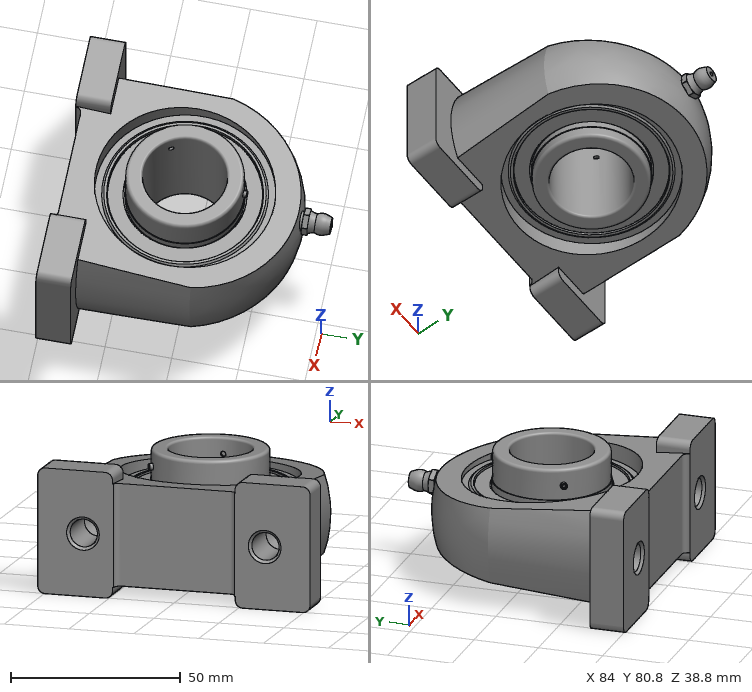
import cadquery as cq
import math


length = 84.0
base_y = -36.5
foot_width = 23.1
foot_depth = 10.5
foot_height = 38.1
foot_corner_radius = 2.35
relief_depth = 1.85
relief_half_width = 18.65
relief_radius = 1.7
side_radius = 34.5
shoulder_y = 8.15
crown_radius = math.hypot(side_radius, shoulder_y)
mid_half_height = 12.5
draft_angle = 5.0
bolt_spacing = 56.0
bolt_hole_diameter = 8.4
bolt_hole_depth = 15.0
bolt_chamfer = 0.8
drill_tip_angle = 118.0
recess_diameter = 53.4
seat_half_height = 8.5
seat_diameter = 52.0

ring_top = 19.7
ring_bottom = -14.3
bore_diameter = 25.0
bore_fillet = 0.75
ring_diameter = 35.0
ring_fillet = 1.0
race_diameter = 35.5
race_half_height = 10.25
outer_half_height = 9.0
outer_face_diameter = 47.9
seal_diameter = 46.2
seal_half_height = 8.5
seal_outer_groove = 0.25
seal_inner_groove = 0.5
groove_depth = 0.7
screw_z = 14.8
screw_diameter = 2.0
screw_tip_diameter = 1.6
screw_reach = 18.7
screw_inner_reach = 13.35
screw_socket_corners = 1.2
screw_socket_depth = 0.8
screw_angles = (90.0, 210.0)

nipple_z = 4.45
nipple_bottom_y = 30.2
thread_diameter = 6.0
hex_bottom_y = 35.5
hex_top_y = 37.3
hex_across_flats = 7.0
hex_round_diameter = 8.0
hex_chamfer = 0.2
neck_y = 39.3
neck_diameter = 5.6
flare_hollow = 0.1
ball_bottom_y = 39.6
ball_edge_diameter = 6.0
ball_diameter = 6.6
ball_top_y = 42.5
cap_y = 43.85
cap_diameter = 4.95
valve_diameter = 1.6
nipple_top_y = 44.3


def body_half_height(y):
    return mid_half_height - y * math.tan(math.radians(draft_angle))


def y_cylinder(diameter, start_y, end_y):
    height = end_y - start_y
    return cq.Workplane("XZ", origin=(0, start_y, 0)).circle(diameter / 2).extrude(-height)


def make_foot(side):
    center_x = side * (length - foot_width) / 2
    foot = cq.Workplane("XY").box(foot_width, foot_depth, foot_height)
    foot = foot.edges("|Y").fillet(foot_corner_radius)
    return foot.translate((center_x, base_y + foot_depth / 2, 0))


def make_block():
    crown_mid = math.atan2(shoulder_y, side_radius) / 2 + math.pi / 4
    envelope = (
        cq.Workplane("XY")
        .moveTo(0, base_y)
        .lineTo(side_radius, base_y)
        .lineTo(side_radius, shoulder_y)
        .threePointArc(
            (crown_radius * math.cos(crown_mid), crown_radius * math.sin(crown_mid)),
            (0, crown_radius),
        )
        .close()
        .revolve(360, (0, 0, 0), (0, 1, 0))
    )
    low, high = base_y, crown_radius
    slab = (
        cq.Workplane("YZ")
        .polyline([
            (low, -body_half_height(low)),
            (high, -body_half_height(high)),
            (high, body_half_height(high)),
            (low, body_half_height(low)),
        ])
        .close()
        .extrude(length / 2, both=True)
    )
    return envelope.intersect(slab)


def make_relief():
    relief = cq.Workplane("XY").box(2 * relief_half_width, 2 * relief_depth, 2 * foot_height)
    relief = relief.edges("|Z and >Y").fillet(relief_radius)
    return relief.translate((0, base_y, 0))


def make_bolt_hole(x):
    radius = bolt_hole_diameter / 2
    mouth = radius + bolt_chamfer
    tip_depth = bolt_hole_depth + radius / math.tan(math.radians(drill_tip_angle / 2))
    hole = (
        cq.Workplane("XY")
        .polyline([
            (0, 0),
            (mouth, 0),
            (radius, bolt_chamfer),
            (radius, bolt_hole_depth),
            (0, tip_depth),
        ])
        .close()
        .revolve(360, (0, 0, 0), (0, 1, 0))
    )
    return hole.translate((x, base_y, 0))


def make_seat():
    seat = cq.Workplane("XY").sphere(seat_diameter / 2)
    for side in (1, -1):
        recess = cq.Workplane("XY").workplane(offset=side * seat_half_height)
        seat = seat.union(recess.circle(recess_diameter / 2).extrude(side * foot_height))
    return seat


def make_housing():
    housing = make_block()
    for side in (-1, 1):
        housing = housing.union(make_foot(side))
    housing = housing.cut(make_relief()).cut(make_seat())
    for side in (-1, 1):
        housing = housing.cut(make_bolt_hole(side * bolt_spacing / 2))
    thread_hole = y_cylinder(thread_diameter, nipple_bottom_y, crown_radius)
    return housing.cut(thread_hole.translate((0, 0, nipple_z)))


def place_at_screw(shape, angle):
    return shape.translate((0, 0, screw_z)).rotate((0, 0, 0), (0, 0, 1), angle)


def make_screw(angle):
    tip_chamfer = (screw_diameter - screw_tip_diameter) / 2
    screw = (
        cq.Workplane("YZ", origin=(screw_inner_reach, 0, 0))
        .circle(screw_diameter / 2)
        .extrude(screw_reach - screw_inner_reach)
        .faces(">X")
        .chamfer(tip_chamfer)
    )
    return place_at_screw(screw, angle)


def make_screw_openings(angle):
    socket = (
        cq.Workplane("YZ", origin=(screw_reach, 0, 0))
        .polygon(6, screw_socket_corners)
        .extrude(-screw_socket_depth)
    )
    bore_hole = cq.Workplane("YZ").circle(screw_tip_diameter / 2).extrude(screw_inner_reach)
    return place_at_screw(socket, angle), place_at_screw(bore_hole, angle)


def make_inner_ring():
    bore, ring, race = bore_diameter / 2, ring_diameter / 2, race_diameter / 2
    body = (
        cq.Workplane("XY", origin=(0, 0, ring_bottom))
        .circle(ring)
        .extrude(ring_top - ring_bottom)
        .faces("<Z or >Z")
        .edges()
        .fillet(ring_fillet)
    )
    raceway = cq.Workplane("XY").circle(race).extrude(race_half_height, both=True)
    bore_cut = cq.Workplane("XY", origin=(0, 0, ring_bottom)).circle(bore).extrude(ring_top - ring_bottom)
    inner_ring = body.union(raceway).cut(bore_cut)
    bore_edges = cq.selectors.RadiusNthSelector(0)
    inner_ring = inner_ring.faces("<Z or >Z").edges(bore_edges).fillet(bore_fillet)
    for angle in screw_angles:
        inner_ring = inner_ring.union(make_screw(angle))
        for opening in make_screw_openings(angle):
            inner_ring = inner_ring.cut(opening)
    return inner_ring


def make_outer_ring():
    inside = (bore_diameter + ring_diameter) / 4
    seal, face, seat = seal_diameter / 2, outer_face_diameter / 2, seat_diameter / 2
    seat_edge = math.sqrt(seat**2 - seat_half_height**2)
    ring = (
        cq.Workplane("XZ")
        .moveTo(inside, -seal_half_height)
        .lineTo(seal, -seal_half_height)
        .lineTo(seal, -outer_half_height)
        .lineTo(face, -outer_half_height)
        .lineTo(seat_edge, -seat_half_height)
        .threePointArc((seat, 0), (seat_edge, seat_half_height))
        .lineTo(face, outer_half_height)
        .lineTo(seal, outer_half_height)
        .lineTo(seal, seal_half_height)
        .lineTo(inside, seal_half_height)
        .close()
        .revolve(360, (0, 0, 0), (0, 1, 0))
    )
    grooves = (
        (seal - seal_outer_groove, seal_outer_groove),
        (race_diameter / 2, seal_inner_groove),
    )
    for inner_radius, width in grooves:
        for side in (1, -1):
            groove = (
                cq.Workplane("XY", origin=(0, 0, side * seal_half_height))
                .circle(inner_radius + width)
                .circle(inner_radius)
                .extrude(-side * groove_depth)
            )
            ring = ring.cut(groove)
    return ring


def make_bearing():
    return make_inner_ring().union(make_outer_ring())


def make_nipple_head():
    valve_ball = cq.Workplane("XY").sphere(valve_diameter / 2)
    valve_ball = valve_ball.translate((0, nipple_top_y - valve_diameter / 2, 0))
    flare_mid = ((hex_across_flats + neck_diameter) / 4 - flare_hollow, (hex_top_y + neck_y) / 2)
    ball_mid = (ball_diameter / 2, (ball_bottom_y + ball_top_y) / 2)
    head = (
        cq.Workplane("XY")
        .moveTo(0, hex_top_y)
        .lineTo(hex_across_flats / 2, hex_top_y)
        .threePointArc(flare_mid, (neck_diameter / 2, neck_y))
        .lineTo(ball_edge_diameter / 2, ball_bottom_y)
        .threePointArc(ball_mid, (ball_edge_diameter / 2, ball_top_y))
        .lineTo(cap_diameter / 2, cap_y)
        .lineTo(0, cap_y)
        .close()
        .revolve(360, (0, 0, 0), (0, 1, 0))
    )
    return head.union(valve_ball)


def make_nipple():
    hex_corners = hex_across_flats / math.cos(math.pi / 6)
    hexagon = (
        cq.Workplane("XZ", origin=(0, hex_bottom_y, 0))
        .polygon(6, hex_corners)
        .extrude(hex_bottom_y - hex_top_y)
        .rotate((0, 0, 0), (0, 1, 0), 30)
    )
    turned = y_cylinder(hex_round_diameter, hex_bottom_y, hex_top_y).edges().chamfer(hex_chamfer)
    thread = y_cylinder(thread_diameter, nipple_bottom_y, hex_bottom_y)
    nipple = hexagon.intersect(turned).union(thread).union(make_nipple_head())
    return nipple.translate((0, 0, nipple_z))


housing = make_housing()
bearing = make_bearing()
nipple = make_nipple()

result = cq.Compound.makeCompound([housing.val(), bearing.val(), nipple.val()])